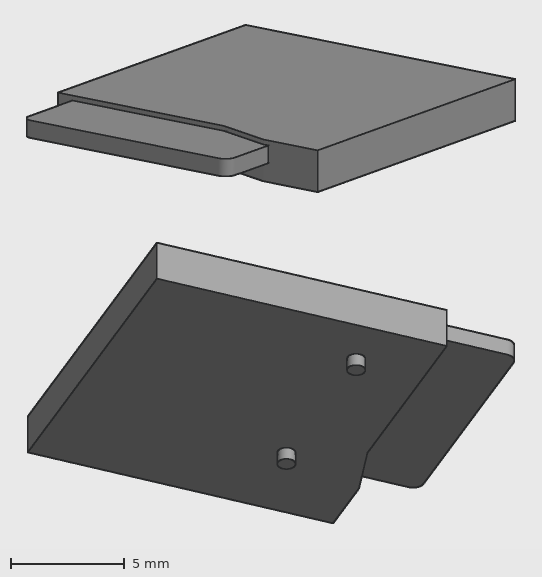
import cadquery as cq

housing_width = 14.79
housing_height = 1.9
back_y = 17.5
mouth_y = 3.71
lip_y = 2.98
slope_start_x = 9.1
slope_end_x = 11.81

peg_diameter = 0.8
peg_length = 0.6
peg_y = 7.0
peg_xs = (2.47, 10.45)

card_left_x = 0.8
card_width = 11.29
card_bottom_z = 0.88
card_thickness = 0.8
card_corner_radius = 0.5


def make_card_blank():
    """Square-cornered card running from its front end back to the socket mouth."""
    return cq.Workplane("XY").box(
        card_width, mouth_y, card_thickness, centered=False
    ).translate((card_left_x, 0, card_bottom_z))


def make_card():
    """Card with its two front corners rounded."""
    return make_card_blank().faces("<Y").edges("|Z").fillet(card_corner_radius)


def make_housing():
    """Block with two pegs below and a notch where the card passes the lip."""
    block = (
        cq.Workplane("XY")
        .moveTo(0, back_y)
        .lineTo(0, mouth_y)
        .lineTo(slope_start_x, mouth_y)
        .lineTo(slope_end_x, lip_y)
        .lineTo(housing_width, lip_y)
        .lineTo(housing_width, back_y)
        .close()
        .extrude(housing_height)
    )
    pegs = (
        cq.Workplane("XY")
        .pushPoints([(x, peg_y) for x in peg_xs])
        .circle(peg_diameter / 2)
        .extrude(-peg_length)
    )
    return block.union(pegs).cut(make_card_blank())


housing = make_housing()
card = make_card()

result = cq.Compound.makeCompound([housing.solids().val(), card.val()])